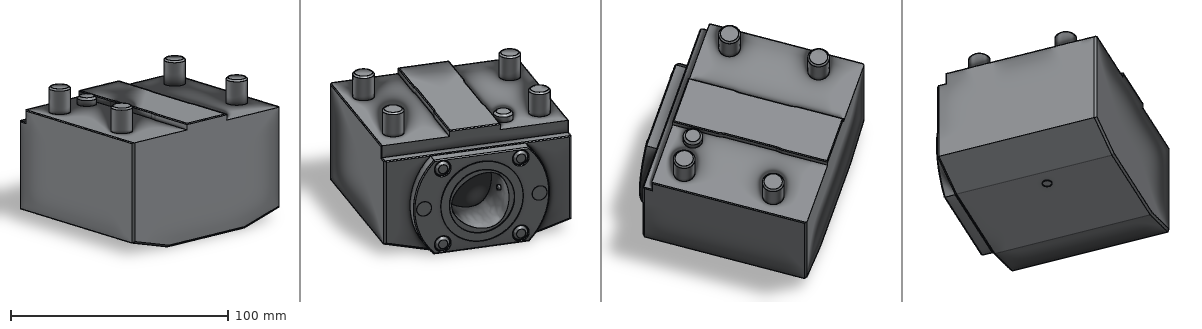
import cadquery as cq
import math


body_length = 79.0
body_width = 91.0
bottom_z = -24.0
deck_z = 30.0
flank_z = -18.0
bottom_half_width = 23.7
ledge_z = 24.0
ledge_depth = 4.4
end_chamfer = 1.0
small_chamfer = 0.5

tenon_z = 33.0
tenon_half_width = 12.4
waist_half_width = 11.9
waist_start = 26.1
waist_end = 57.1
waist_ramp = 2.9

stud_diameter = 10.0
stud_top_z = 42.0
stud_chamfer = 0.8
stud_x = (17.0, 59.9)
stud_y = 35.5
pin_diameter = 9.0
pin_top_z = 33.85
pin_chamfer = 1.1
pin_x = 15.65
pin_y = -17.5

flange_thickness = 5.5
flange_radius = 33.0
flange_half_height = 23.7
flange_chamfer = 0.55

screw_offset = 18.9
pocket_diameter = 7.2
pocket_mouth_diameter = 8.1
pocket_depth = 0.8
head_top_diameter = 4.5
head_overhang = 0.55

ring_outer_diameter = 39.95
ring_inner_diameter = 31.6
ring_height = 0.55
dowel_diameter = 7.2
dowel_offset = 28.0
dowel_height = 0.1

bore_mean_radius = 13.9
bore_lobe = 0.7
bore_depth = 24.0
bore_taper = 0.02
bore_points = 48
key_diameter = 2.5
key_x = 6.55
key_tip_y = -11.6
key_length = 3.6

plug_diameter = 4.5
plug_height = 0.5
plug_x = 42.7
plug_y = -15.7


def make_body():
    half = body_width / 2
    ledge_floor_center = (ledge_depth / 2, 0, ledge_z)
    riser_center = (ledge_depth, 0, (ledge_z + deck_z) / 2)
    profile = [
        (-half, deck_z),
        (-half, flank_z),
        (-bottom_half_width, bottom_z),
        (bottom_half_width, bottom_z),
        (half, flank_z),
        (half, deck_z),
    ]
    body = cq.Workplane("YZ").polyline(profile).close().extrude(body_length)
    body = body.faces("<X or >X").edges("not >Z").chamfer(end_chamfer)
    ledge = cq.Workplane("XY").box(2 * ledge_depth, 2 * body_width, 2 * (deck_z - ledge_z))
    body = body.cut(ledge.translate((0, 0, deck_z)))
    nearest_to = cq.selectors.NearestToPointSelector
    side_edges = body.faces(">Z").edges("|X")
    side_edges = side_edges.add(body.faces(nearest_to(ledge_floor_center)).edges("|X"))
    side_edges = side_edges.add(body.faces(nearest_to(riser_center)).edges("|Z"))
    body = side_edges.chamfer(small_chamfer)
    return body.faces("<X").edges(">Z").chamfer(small_chamfer)


def make_tenon():
    waist_in_start = waist_start + waist_ramp
    waist_in_end = waist_end - waist_ramp
    side = [
        (ledge_depth, tenon_half_width),
        (waist_start, tenon_half_width),
        (waist_in_start, waist_half_width),
        (waist_in_end, waist_half_width),
        (waist_end, tenon_half_width),
        (body_length, tenon_half_width),
    ]
    opposite_side = [(x, -y) for x, y in reversed(side)]
    outline = cq.Workplane("XY", origin=(0, 0, deck_z)).polyline(side + opposite_side).close()
    return outline.extrude(tenon_z - deck_z).faces(">Z").edges("#Z").chamfer(small_chamfer)


def make_post(diameter, top_z, chamfer, x, y):
    post = cq.Workplane("XY", origin=(x, y, deck_z)).circle(diameter / 2).extrude(top_z - deck_z)
    return post.faces(">Z").chamfer(chamfer)


def make_flange():
    disc = cq.Workplane("YZ").circle(flange_radius).extrude(-flange_thickness)
    flats = cq.Workplane("XY").box(4 * flange_thickness, 4 * flange_radius, 2 * flange_half_height)
    return disc.intersect(flats).faces("<X").chamfer(flange_chamfer)


def front_plane():
    """Sketch plane on the flange face, with extrusions going into the part."""
    return cq.Workplane("YZ", origin=(-flange_thickness, 0, 0))


def make_screw_pocket():
    mouth_chamfer = (pocket_mouth_diameter - pocket_diameter) / 2
    pocket = front_plane().circle(pocket_diameter / 2).extrude(pocket_depth)
    mouth = front_plane().circle(pocket_mouth_diameter / 2).workplane(offset=mouth_chamfer)
    return pocket.union(mouth.circle(pocket_diameter / 2).loft())


def make_screw_head():
    head_height = pocket_depth + head_overhang
    base = front_plane().workplane(offset=pocket_depth).circle(pocket_diameter / 2)
    return base.workplane(offset=-head_height).circle(head_top_diameter / 2).loft()


def make_seat_ring():
    ring = front_plane().circle(ring_outer_diameter / 2).circle(ring_inner_diameter / 2)
    return ring.extrude(-ring_height)


def make_dowel_ends():
    dowels = front_plane().pushPoints([(dowel_offset, 0), (-dowel_offset, 0)])
    return dowels.circle(dowel_diameter / 2).extrude(-dowel_height)


def lobed_section(depth):
    """Closed curve whose tangent lines keep a distance from the axis that swells three times per turn."""
    radius = bore_mean_radius - bore_taper * depth
    points = []
    for i in range(bore_points):
        angle = 2 * math.pi * i / bore_points
        reach = radius + bore_lobe * math.cos(3 * angle)
        slope = -3 * bore_lobe * math.sin(3 * angle)
        y = reach * math.cos(angle) - slope * math.sin(angle)
        z = reach * math.sin(angle) + slope * math.cos(angle)
        points.append(cq.Vector(depth - flange_thickness, y, z))
    return cq.Wire.assembleEdges([cq.Edge.makeSpline(points, periodic=True)])


def make_bore():
    return cq.Workplane(cq.Solid.makeLoft([lobed_section(0), lobed_section(bore_depth)]))


def make_key():
    """Round pin lying along Y, with its tip standing out of the -Y wall of the bore."""
    return cq.Workplane("XZ", origin=(key_x, key_tip_y, 0)).circle(key_diameter / 2).extrude(key_length)


def make_plug():
    plug = cq.Workplane("XY", origin=(plug_x, plug_y, bottom_z)).circle(plug_diameter / 2)
    return plug.extrude(-plug_height)


result = make_body().union(make_tenon()).union(make_flange()).union(make_seat_ring()).union(make_dowel_ends())
for x in stud_x:
    for y in (stud_y, -stud_y):
        result = result.union(make_post(stud_diameter, stud_top_z, stud_chamfer, x, y))
result = result.union(make_post(pin_diameter, pin_top_z, pin_chamfer, pin_x, pin_y))
result = result.union(make_plug())

result = result.cut(make_bore()).union(make_key())

for y in (screw_offset, -screw_offset):
    for z in (screw_offset, -screw_offset):
        result = result.cut(make_screw_pocket().translate((0, y, z)))
        result = result.union(make_screw_head().translate((0, y, z)))